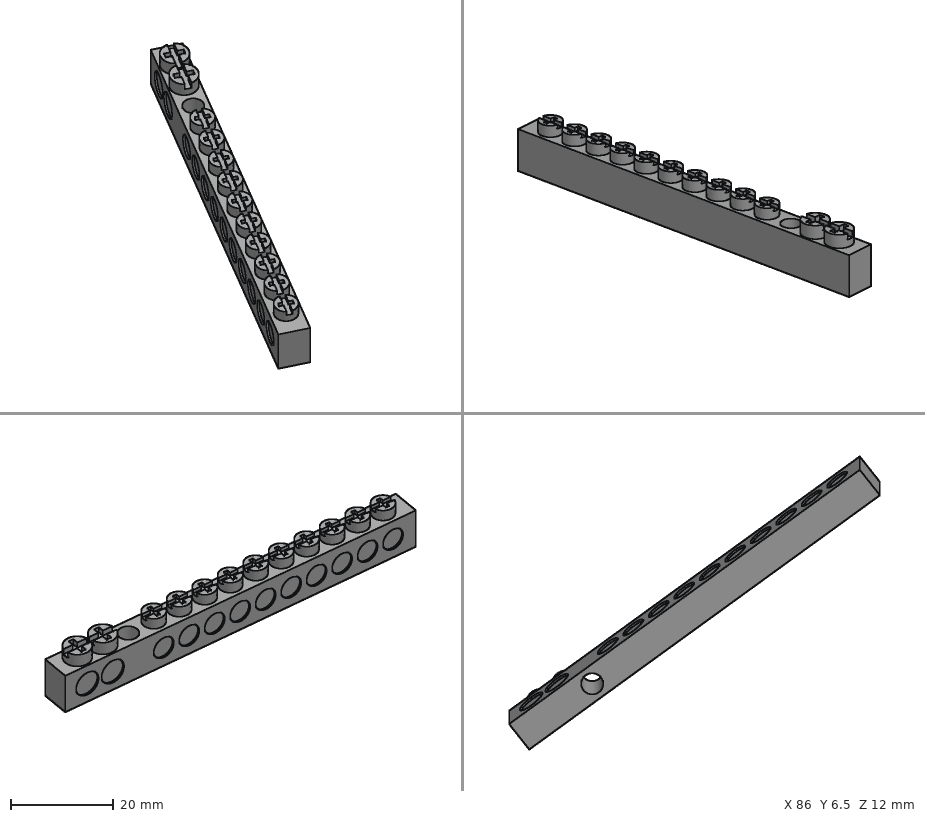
import cadquery as cq


bar_length = 86.0
bar_width = 6.5
bar_height = 9.1

station_count = 13
first_station_x = 5.4
last_station_x = 80.4
station_pitch = (last_station_x - first_station_x) / (station_count - 1)
large_stations = range(0, 2)
mounting_hole_station = 2
small_stations = range(3, station_count)

mounting_hole_diameter = 4.3

large_head_diameter = 5.85
large_head_height = 12.0 - bar_height
large_slot_width = 1.4
large_cross_length = 4.0
large_cross_width = 1.1
large_recess_diameter = 5.5

small_head_diameter = 4.9
small_head_height = 2.5
small_slot_width = 1.2
small_cross_length = 3.0
small_cross_width = 0.9
small_recess_diameter = 4.9

slot_floor_z = 10.75
recess_depth = 0.4
recess_z = bar_height / 2


def station_x(station):
    return first_station_x + station * station_pitch


def screw_head(station, diameter, height, slot_width, cross_length, cross_width):
    """Round head with a full slot along X and a shorter cross slot along Y."""
    x = station_x(station)
    slot_depth = bar_height + height - slot_floor_z
    head = cq.Workplane("XY", origin=(x, 0, bar_height)).circle(diameter / 2).extrude(height)
    floor = cq.Workplane("XY", origin=(x, 0, slot_floor_z))
    slot = floor.rect(diameter, slot_width).extrude(slot_depth)
    cross = floor.rect(cross_width, cross_length).extrude(slot_depth)
    return head.cut(slot).cut(cross)


def side_recess(station, diameter):
    """Shallow disc to remove from the -Y face of the bar."""
    front_face = cq.Workplane("XZ", origin=(station_x(station), -bar_width / 2, recess_z))
    return front_face.circle(diameter / 2).extrude(-recess_depth)


bar = cq.Workplane("XY").box(bar_length, bar_width, bar_height, centered=(False, True, False))

mounting_hole = (
    cq.Workplane("XY", origin=(station_x(mounting_hole_station), 0, 0))
    .circle(mounting_hole_diameter / 2)
    .extrude(bar_height)
)
result = bar.cut(mounting_hole)

for station in large_stations:
    result = result.cut(side_recess(station, large_recess_diameter))
    result = result.union(
        screw_head(
            station,
            large_head_diameter,
            large_head_height,
            large_slot_width,
            large_cross_length,
            large_cross_width,
        )
    )

for station in small_stations:
    result = result.cut(side_recess(station, small_recess_diameter))
    result = result.union(
        screw_head(
            station,
            small_head_diameter,
            small_head_height,
            small_slot_width,
            small_cross_length,
            small_cross_width,
        )
    )